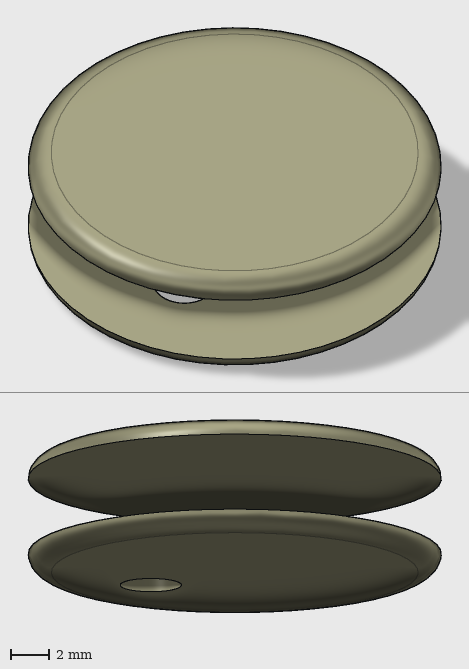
import cadquery as cq

outer_diameter = 21.6
overall_height = 6.0
disc_thickness = 1.0

rim_width = 1.2

hole_diameter = 3.2
hole_offset = 5.35

outer_radius = outer_diameter / 2
half_height = overall_height / 2
inner_face_height = half_height - disc_thickness


def rounded_disc():
    """Disc with a flat base at the inner face height and a rounded rim rising to its top."""
    return (
        cq.Workplane("XZ")
        .moveTo(0, inner_face_height)
        .lineTo(outer_radius, inner_face_height)
        .ellipseArc(
            rim_width,
            disc_thickness,
            angle1=0,
            angle2=90,
            startAtCurrent=True,
        )
        .lineTo(0, half_height)
        .close()
        .revolve(360, (0, 0, 0), (0, 1, 0))
    )


def make_upper_disc():
    """Plain disc with its rounded rim facing up."""
    return rounded_disc()


def make_lower_disc():
    """Mirrored disc with its rounded rim facing down and one off-centre through hole."""
    hole = (
        cq.Workplane("XY")
        .workplane(offset=-half_height)
        .center(0, -hole_offset)
        .circle(hole_diameter / 2)
        .extrude(disc_thickness)
    )
    return rounded_disc().mirror("XY").cut(hole)


upper_disc = make_upper_disc()
lower_disc = make_lower_disc()

result = cq.Compound.makeCompound([upper_disc.val(), lower_disc.val()])